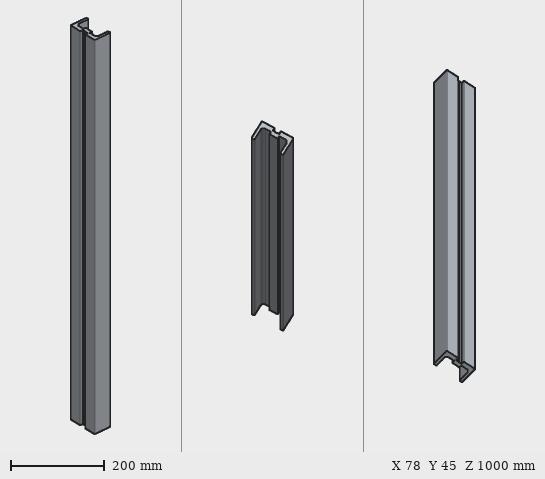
import cadquery as cq

width = 78.0
depth = 45.0
length = 1000.0

side_wall = 7.5
floor_thickness = 11.5
inner_corner_radius = 7.0
edge_radius = 1.0

rib_width = 20.0
rib_top = 18.0

slot_neck_width = 15.0
slot_bottom_width = 16.0
slot_depth = 7.0
mouth_radius = 1.0

groove_width = 3.5
groove_depth = 0.5


def full_length_bar(x_size, y_start, y_end):
    """Full-length rectangular bar centred on X, between two Y positions."""
    bar = cq.Workplane("XY").box(x_size, y_end - y_start, length, centered=(True, False, False))
    return bar.translate((0, y_start, 0))


def channel():
    """U-shaped body, open toward +Y, with rounded inner corners and outer edges."""
    outer = full_length_bar(width, 0, depth).edges("|Z and <Y").fillet(edge_radius)
    cavity = full_length_bar(width - 2 * side_wall, floor_thickness, depth)
    cavity = cavity.edges("|Z and <Y").fillet(inner_corner_radius)
    return outer.cut(cavity).faces(">Y").edges("|Z").fillet(edge_radius)


def slot():
    """Dovetail slot whose mouth opens out through a convex radius on each side."""
    neck = slot_neck_width / 2
    mouth = neck + mouth_radius
    bottom = slot_bottom_width / 2
    return (
        cq.Workplane("XY")
        .moveTo(-mouth, 0)
        .lineTo(mouth, 0)
        .radiusArc((neck, mouth_radius), mouth_radius)
        .lineTo(bottom, slot_depth)
        .lineTo(-bottom, slot_depth)
        .lineTo(-neck, mouth_radius)
        .radiusArc((-mouth, 0), mouth_radius)
        .close()
        .extrude(length)
    )


rib = full_length_bar(rib_width, floor_thickness, rib_top)
groove = full_length_bar(groove_width, slot_depth, slot_depth + groove_depth)

result = channel().union(rib).cut(slot()).cut(groove)